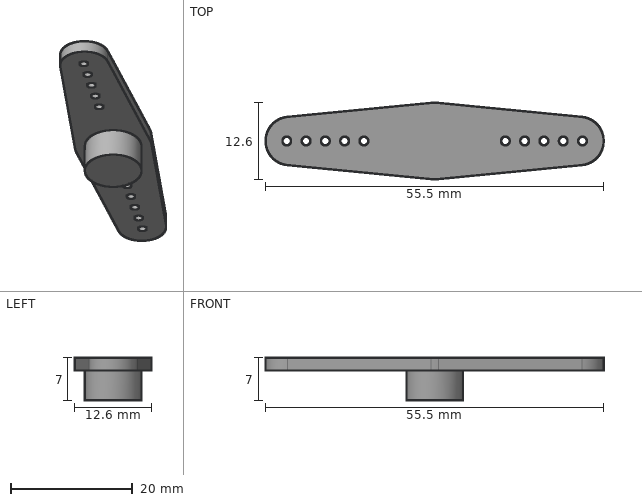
import cadquery as cq
import math

length = 55.55
width = 12.6
plate_thickness = 2.1

center_radius = width / 2
end_radius = 4.0
end_center_x = length / 2 - end_radius

hub_diameter = 9.35
total_height = 7.0
hub_height = total_height - plate_thickness

hole_diameter = 1.4
holes_per_arm = 5
outer_hole_x = 24.3
hole_pitch = 3.15


def make_plate():
    """Double-arm plate with every straight edge tangent to its neighbouring arcs."""
    tangent_angle = math.asin((center_radius - end_radius) / end_center_x)
    sine = math.sin(tangent_angle)
    cosine = math.cos(tangent_angle)
    mid_x, mid_y = center_radius * sine, center_radius * cosine
    end_x, end_y = end_center_x + end_radius * sine, end_radius * cosine
    return (
        cq.Workplane("XY")
        .moveTo(-mid_x, mid_y)
        .threePointArc((0, center_radius), (mid_x, mid_y))
        .lineTo(end_x, end_y)
        .threePointArc((length / 2, 0), (end_x, -end_y))
        .lineTo(mid_x, -mid_y)
        .threePointArc((0, -center_radius), (-mid_x, -mid_y))
        .lineTo(-end_x, -end_y)
        .threePointArc((-length / 2, 0), (-end_x, end_y))
        .close()
        .extrude(plate_thickness)
    )


def make_hub():
    """Round hub hanging from the underside of the plate."""
    return cq.Workplane("XY").circle(hub_diameter / 2).extrude(-hub_height)


def make_arm_holes():
    """Cutters for the through holes along both arms."""
    centers = [
        (side * (outer_hole_x - index * hole_pitch), 0)
        for side in (-1, 1)
        for index in range(holes_per_arm)
    ]
    return cq.Workplane("XY").pushPoints(centers).circle(hole_diameter / 2).extrude(plate_thickness)


result = make_plate().union(make_hub()).cut(make_arm_holes())